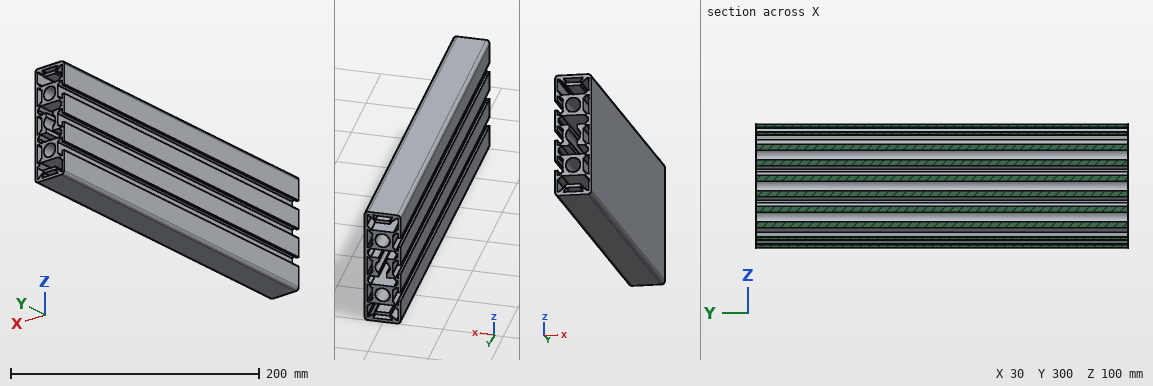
import cadquery as cq

LENGTH = 300.0
WIDTH = 30.0
SLOT_PITCH = 75 / 3
HEIGHT = 4 * SLOT_PITCH
OUTER_RADIUS = 3.0

SIDE_WALL = 2.0
END_WALL = 2.7
WEB = 1.0

SLOT_OPENING = 8.0
POCKET_DEPTH = 6.5
POCKET_HALF_HEIGHT = 7.8
POCKET_FLOOR_HALF_HEIGHT = 4.8
POCKET_STRAIGHT = 1.8

BORE_DIAMETER = 12.0
CHANNEL_WIDTH = 6.5

MIDDLE_CHAMBER_WIDTH = 24.5
MIDDLE_CHAMBER_CHAMFER = 2.7

DUCT_BASE_HALF_WIDTH = 7.8
DUCT_TIP_HALF_WIDTH = 5.7
DUCT_STRAIGHT = 0.5
DUCT_DEPTH = 3.5
HOOD_THICKNESS = 2.7
HOOD_TIP_HALF_WIDTH = 5.7
HOOD_SIDE_HALF_WIDTH = 7.0
HOOD_SIDE_LENGTH = 1.0
HOOD_TIP_CHAMFER = HOOD_SIDE_HALF_WIDTH - HOOD_TIP_HALF_WIDTH
HOOD_FOOT_HALF_WIDTH = 11.7
CORNER_STEP = 0.5
END_CHAMBER_CHAMFER = 3.5

SECTION_PLANE = cq.Plane(origin=(0, LENGTH / 2, 0), xDir=(1, 0, 0), normal=(0, -1, 0))
INNER_HALF_WIDTH = WIDTH / 2 - SIDE_WALL
END_WALL_FACE = HEIGHT / 2 - END_WALL
END_CHAMBER_BASE = SLOT_PITCH + POCKET_HALF_HEIGHT + WEB
MIDDLE_CHAMBER_HEIGHT = SLOT_PITCH - 2 * (POCKET_HALF_HEIGHT + WEB)


def section():
    return cq.Workplane(SECTION_PLANE)


def prism(points):
    return section().polyline(points).close().extrude(LENGTH)


def bar(width, height, x=0, z=0):
    return section().center(x, z).rect(width, height).extrude(LENGTH)


def mirrored_in_x(half):
    """Complete a symmetric outline from its +X half."""
    return half + [(-x, z) for x, z in reversed(half)]


def side_pocket(side, z):
    """Pocket tapering towards its floor; side is -1 for -X and +1 for +X."""
    floor_x = WIDTH / 2 - POCKET_DEPTH
    upper = [
        (INNER_HALF_WIDTH, POCKET_HALF_HEIGHT),
        (INNER_HALF_WIDTH - POCKET_STRAIGHT, POCKET_HALF_HEIGHT),
        (floor_x, POCKET_FLOOR_HALF_HEIGHT),
    ]
    outline = upper + [(x, -h) for x, h in reversed(upper)]
    return prism([(side * x, z + h) for x, h in outline])


def slot_mouth(z):
    return bar(SIDE_WALL, SLOT_OPENING, -(WIDTH - SIDE_WALL) / 2, z)


def bore(z):
    return section().center(0, z).circle(BORE_DIAMETER / 2).extrude(LENGTH)


def middle_chamber(z):
    chamber = bar(MIDDLE_CHAMBER_WIDTH, MIDDLE_CHAMBER_HEIGHT, 0, z)
    return chamber.edges("|Y").chamfer(MIDDLE_CHAMBER_CHAMFER)


def duct(end):
    half = [
        (DUCT_BASE_HALF_WIDTH, END_WALL_FACE),
        (DUCT_BASE_HALF_WIDTH, END_WALL_FACE - DUCT_STRAIGHT),
        (DUCT_TIP_HALF_WIDTH, END_WALL_FACE - DUCT_DEPTH),
    ]
    return prism(mirrored_in_x([(x, end * z) for x, z in half]))


def end_chamber(end):
    corner_z = END_WALL_FACE - CORNER_STEP
    hood_tip_z = END_WALL_FACE - DUCT_DEPTH - HOOD_THICKNESS
    hood_side_z = hood_tip_z + HOOD_TIP_CHAMFER
    half = [
        (INNER_HALF_WIDTH - END_CHAMBER_CHAMFER, END_CHAMBER_BASE),
        (INNER_HALF_WIDTH, END_CHAMBER_BASE + END_CHAMBER_CHAMFER),
        (INNER_HALF_WIDTH, corner_z),
        (HOOD_FOOT_HALF_WIDTH, corner_z),
        (HOOD_SIDE_HALF_WIDTH, hood_side_z + HOOD_SIDE_LENGTH),
        (HOOD_SIDE_HALF_WIDTH, hood_side_z),
        (HOOD_TIP_HALF_WIDTH, hood_tip_z),
    ]
    return prism(mirrored_in_x([(x, end * z) for x, z in half]))


profile = bar(WIDTH, HEIGHT).edges("|Y").fillet(OUTER_RADIUS)

for slot_z in (-SLOT_PITCH, 0, SLOT_PITCH):
    profile = profile.cut(slot_mouth(slot_z)).cut(bore(slot_z))
    for side in (-1, 1):
        profile = profile.cut(side_pocket(side, slot_z))

profile = profile.cut(bar(CHANNEL_WIDTH, SLOT_PITCH))

for end in (-1, 1):
    profile = profile.cut(middle_chamber(end * SLOT_PITCH / 2))
    profile = profile.cut(end_chamber(end)).cut(duct(end))

result = profile